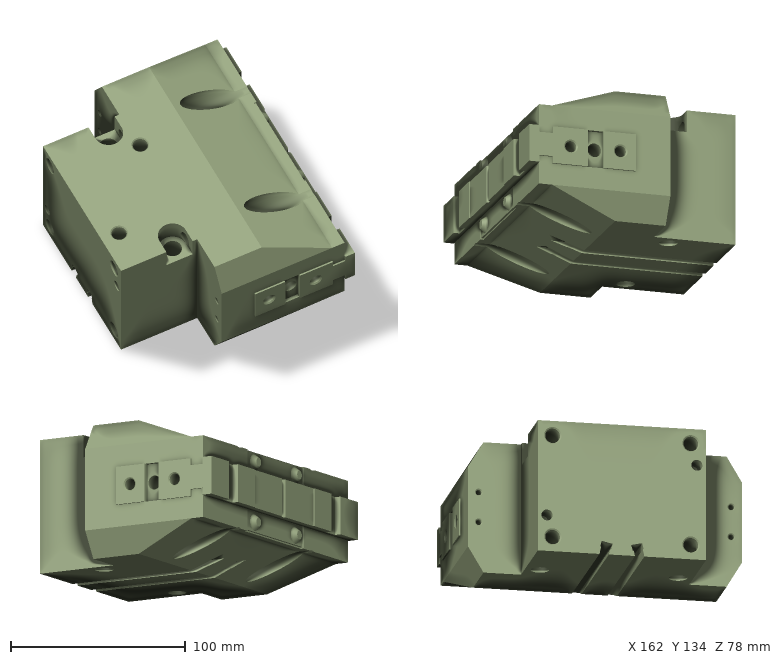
import cadquery as cq
import math


TOTAL_WIDTH = 162.0
TOTAL_LENGTH = 134.0
HOUSING_WIDTH = 160.0
HOUSING_HEIGHT = 78.0
HALF_HEIGHT = HOUSING_HEIGHT / 2

STEM_WIDTH = 98.2
SHOULDER_Y = 49.0
SLOPE_START_Y = 79.2
SLOPE_END_Y = 119.9
HOUSING_LENGTH = 127.8
RAIL_HALF_HEIGHT = 23.8
TOP_FLAT_WIDTH = 141.9

JAW_HALF_HEIGHT = 11.0
NECK_HALF_HEIGHT = 7.0
GUIDE_BOTTOM_Y = 70.0
JAW_LENGTH = TOTAL_WIDTH / 2
RELIEF_HALF_WIDTH = 32.7
RELIEF_DEPTH = 0.6
INNER_CHAMFER = 1.8
KEYWAY_CENTRE_X = 56.7
KEYWAY_WIDTH = 10.0
KEYWAY_DEPTH = 3.5
SIDE_SLOT_CENTRE_Y = 94.0
SIDE_SLOT_WIDTH = 9.4
SIDE_SLOT_DEPTH = 3.0
SIDE_HOLE_SPACING = 14.9
SIDE_HOLE_DIAMETER = 6.6
SIDE_PIN_DIAMETER = 8.1
SIDE_HOLE_DEPTH = 16.2

SCREW_X = 40.3
SCREW_Z = 30.3
SCREW_DIAMETER = 8.6
SCREW_MOUTH_DIAMETER = 10.0
SCREW_HEAD_DIAMETER = 14.0
SCREW_HEAD_SEAT_Y = 72.9

CROSS_HOLE_Y = 37.6
CROSS_HOLE_DIAMETER = 10.7
POCKET_WIDTH = 16.8
POCKET_DEPTH = 13.0

DOWEL_X = 43.7
DOWEL_Z = 17.5
DOWEL_DIAMETER = 6.5
DOWEL_DEPTH = 13.0
SHOULDER_HOLE_X = 73.7
SHOULDER_HOLE_Z = 8.9
SHOULDER_HOLE_DIAMETER = 3.2
SHOULDER_MOUTH_DIAMETER = 4.4
SHOULDER_HOLE_DEPTH = 9.7

AIR_PORTS = [(-24.8, 50.0, 1.8), (24.8, 11.2, -2.8)]
PORT_DIAMETER = 8.7
PORT_MOUTH_DIAMETER = 10.0
PORT_DEPTH = 13.0
PORT_BORE_DIAMETER = 2.9
PORT_BORE_DEPTH = 4.9

SENSOR_GROOVE = [
    (13.1, 0.0), (12.2, 4.2), (12.6, 4.5), (11.8, 8.0),
    (5.3, 6.5), (6.3, 3.2), (7.0, 3.0), (7.6, 0.0),
]

BUTTON_X = 22.5
BUTTON_Z = 17.5
BUTTON_BASE_RADIUS = 4.9
BUTTON_TOP_RADIUS = 2.6
BUTTON_HEIGHT = 2.9
SEAT_HALF_WIDTH = 30.8
SEAT_DEPTH = 0.5
SEAT_STEP_WIDTH = 1.3
SEAT_STEP_DEPTH = 0.8

DRILL_TIP_HALF_ANGLE = 59.0
SIGNS = (-1, 1)


def box(x0, x1, y0, y1, z0, z1):
    """Box between two opposite corners."""
    return cq.Workplane("XY").box(x1 - x0, y1 - y0, z1 - z0, centered=False).translate((x0, y0, z0))


def cylinder(start, direction, diameter, length):
    return cq.Workplane(cq.Solid.makeCylinder(diameter / 2, length, cq.Vector(*start), cq.Vector(*direction)))


def blind_hole(start, direction, diameter, depth, mouth_diameter=None):
    """Drilled hole with a conical tip, and a 45 degree mouth chamfer if one is given."""
    origin = cq.Vector(*start)
    axis = cq.Vector(*direction)
    radius = diameter / 2
    tip_length = radius / math.tan(math.radians(DRILL_TIP_HALF_ANGLE))
    tip = cq.Solid.makeCone(radius, 0, tip_length, origin + axis * depth, axis)
    hole = cylinder(start, direction, diameter, depth).union(cq.Workplane(tip))
    if mouth_diameter:
        hole = hole.union(mouth_chamfer(start, direction, diameter, mouth_diameter))
    return hole


def mouth_chamfer(start, direction, diameter, mouth_diameter):
    height = (mouth_diameter - diameter) / 2
    cone = cq.Solid.makeCone(
        mouth_diameter / 2, diameter / 2, height, cq.Vector(*start), cq.Vector(*direction)
    )
    return cq.Workplane(cone)


def housing_blank():
    """Stem and head in plan, trimmed by the sloping nose and the sloping side corners."""
    head = box(-HOUSING_WIDTH / 2, HOUSING_WIDTH / 2, SHOULDER_Y, HOUSING_LENGTH, -HALF_HEIGHT, HALF_HEIGHT)
    stem = box(-STEM_WIDTH / 2, STEM_WIDTH / 2, 0, SHOULDER_Y, -HALF_HEIGHT, HALF_HEIGHT)
    side_profile = (
        cq.Workplane("YZ")
        .polyline([
            (0, -HALF_HEIGHT), (SLOPE_START_Y, -HALF_HEIGHT),
            (SLOPE_END_Y, -RAIL_HALF_HEIGHT), (HOUSING_LENGTH, -RAIL_HALF_HEIGHT),
            (HOUSING_LENGTH, RAIL_HALF_HEIGHT), (SLOPE_END_Y, RAIL_HALF_HEIGHT),
            (SLOPE_START_Y, HALF_HEIGHT), (0, HALF_HEIGHT),
        ])
        .close()
        .extrude(HOUSING_WIDTH / 2, both=True)
    )
    flat, side = TOP_FLAT_WIDTH / 2, HOUSING_WIDTH / 2
    front_profile = (
        cq.Workplane("XZ")
        .polyline([
            (-flat, -HALF_HEIGHT), (flat, -HALF_HEIGHT),
            (side, -RAIL_HALF_HEIGHT), (side, RAIL_HALF_HEIGHT),
            (flat, HALF_HEIGHT), (-flat, HALF_HEIGHT),
            (-side, RAIL_HALF_HEIGHT), (-side, -RAIL_HALF_HEIGHT),
        ])
        .close()
        .extrude(-HOUSING_LENGTH)
    )
    return head.union(stem).intersect(side_profile).intersect(front_profile)


def jaw_guide(x0, x1, end_y):
    """T-shaped bar along X: wide foot, narrow neck between the rails, and a head if end_y is past them."""
    foot = box(x0, x1, GUIDE_BOTTOM_Y, SLOPE_END_Y, -JAW_HALF_HEIGHT, JAW_HALF_HEIGHT)
    neck = box(x0, x1, SLOPE_END_Y, HOUSING_LENGTH, -NECK_HALF_HEIGHT, NECK_HALF_HEIGHT)
    bar = foot.union(neck)
    if end_y > HOUSING_LENGTH:
        bar = bar.union(box(x0, x1, HOUSING_LENGTH, end_y, -JAW_HALF_HEIGHT, JAW_HALF_HEIGHT))
    return bar


def mounting_screw_holes():
    cuts = cq.Workplane()
    for sx in SIGNS:
        for sz in SIGNS:
            mouth = (sx * SCREW_X, 0, sz * SCREW_Z)
            seat = (sx * SCREW_X, SCREW_HEAD_SEAT_Y, sz * SCREW_Z)
            along_y = (0, 1, 0)
            cuts = (
                cuts.add(cylinder(mouth, along_y, SCREW_DIAMETER, HOUSING_LENGTH))
                .add(mouth_chamfer(mouth, along_y, SCREW_DIAMETER, SCREW_MOUTH_DIAMETER))
                .add(cylinder(seat, along_y, SCREW_HEAD_DIAMETER, HOUSING_LENGTH - SCREW_HEAD_SEAT_Y))
            )
    return cuts.combine()


def cross_holes():
    """Holes through the height, each in a round-ended pocket open to the side of the stem."""
    floor_z = HALF_HEIGHT - POCKET_DEPTH
    cuts = cq.Workplane()
    for sx in SIGNS:
        x = sx * SCREW_X
        edge_x = sx * STEM_WIDTH / 2
        half = POCKET_WIDTH / 2
        opening = box(
            min(x, edge_x), max(x, edge_x), CROSS_HOLE_Y - half, CROSS_HOLE_Y + half, floor_z, HALF_HEIGHT
        )
        cuts = (
            cuts.add(cylinder((x, CROSS_HOLE_Y, -HALF_HEIGHT), (0, 0, 1), CROSS_HOLE_DIAMETER, HOUSING_HEIGHT))
            .add(cylinder((x, CROSS_HOLE_Y, floor_z), (0, 0, 1), POCKET_WIDTH, POCKET_DEPTH))
            .add(opening)
        )
    return cuts.combine()


def dowel_holes():
    cuts = cq.Workplane()
    for sign in SIGNS:
        cuts = cuts.add(blind_hole((sign * DOWEL_X, 0, sign * DOWEL_Z), (0, 1, 0), DOWEL_DIAMETER, DOWEL_DEPTH))
    return cuts.combine()


def shoulder_holes():
    cuts = cq.Workplane()
    for sx in SIGNS:
        for sz in SIGNS:
            start = (sx * SHOULDER_HOLE_X, SHOULDER_Y, sz * SHOULDER_HOLE_Z)
            cuts = cuts.add(blind_hole(
                start, (0, 1, 0), SHOULDER_HOLE_DIAMETER, SHOULDER_HOLE_DEPTH, SHOULDER_MOUTH_DIAMETER
            ))
    return cuts.combine()


def air_ports():
    """Flat-bottomed ports, each with a small off-centre bore in its floor."""
    down = (0, 0, -1)
    cuts = cq.Workplane()
    for x, y, bore_offset in AIR_PORTS:
        mouth = (x, y, HALF_HEIGHT)
        bore = (x, y + bore_offset, HALF_HEIGHT - PORT_DEPTH)
        cuts = (
            cuts.add(cylinder(mouth, down, PORT_DIAMETER, PORT_DEPTH))
            .add(mouth_chamfer(mouth, down, PORT_DIAMETER, PORT_MOUTH_DIAMETER))
            .add(blind_hole(bore, down, PORT_BORE_DIAMETER, PORT_BORE_DEPTH))
        )
    return cuts.combine()


def sensor_grooves():
    """Two mirrored slanting grooves, narrowed by lips at the mouth, that run the full length of the underside."""
    cuts = cq.Workplane()
    for sx in SIGNS:
        outline = [(sx * x, z - HALF_HEIGHT) for x, z in SENSOR_GROOVE]
        cuts = cuts.add(cq.Workplane("XZ").polyline(outline).close().extrude(-HOUSING_LENGTH))
    return cuts.combine()


def nose_seats():
    """Shallow seat in the nose face of both rails, stepped along the outer edge."""
    seat_y = HOUSING_LENGTH - SEAT_DEPTH
    step_z = RAIL_HALF_HEIGHT - SEAT_STEP_DEPTH
    cuts = box(
        -SEAT_HALF_WIDTH, SEAT_HALF_WIDTH, seat_y, HOUSING_LENGTH, -RAIL_HALF_HEIGHT, RAIL_HALF_HEIGHT
    )
    upper_step = box(
        -SEAT_HALF_WIDTH, SEAT_HALF_WIDTH, seat_y - SEAT_STEP_WIDTH, seat_y, step_z, RAIL_HALF_HEIGHT
    )
    return cuts.union(upper_step).union(upper_step.mirror("XY"))


def buttons():
    """Conical screw heads on the nose seats."""
    heads = cq.Workplane()
    seat_y = HOUSING_LENGTH - SEAT_DEPTH
    for sx in SIGNS:
        for sz in SIGNS:
            cone = cq.Solid.makeCone(
                BUTTON_BASE_RADIUS, BUTTON_TOP_RADIUS, BUTTON_HEIGHT,
                cq.Vector(sx * BUTTON_X, seat_y, sz * BUTTON_Z), cq.Vector(0, 1, 0),
            )
            heads = heads.add(cq.Workplane(cone))
    return heads.combine()


def make_housing():
    return (
        housing_blank()
        .cut(jaw_guide(-HOUSING_WIDTH / 2, HOUSING_WIDTH / 2, HOUSING_LENGTH))
        .cut(mounting_screw_holes())
        .cut(cross_holes())
        .cut(dowel_holes())
        .cut(shoulder_holes())
        .cut(air_ports())
        .cut(sensor_grooves())
        .cut(nose_seats())
        .union(buttons())
    )


def make_jaw():
    """Jaw on the +X side, from the middle plane to the outer face."""
    jaw = jaw_guide(0, JAW_LENGTH, TOTAL_LENGTH)
    relief_y = TOTAL_LENGTH - RELIEF_DEPTH
    z = JAW_HALF_HEIGHT
    relief = box(0, RELIEF_HALF_WIDTH, relief_y, TOTAL_LENGTH, -z, z)
    inner_chamfer = (
        cq.Workplane("XY")
        .polyline([(0, relief_y), (INNER_CHAMFER, relief_y), (0, relief_y - INNER_CHAMFER)])
        .close()
        .extrude(z, both=True)
    )
    keyway = box(
        KEYWAY_CENTRE_X - KEYWAY_WIDTH / 2, KEYWAY_CENTRE_X + KEYWAY_WIDTH / 2,
        TOTAL_LENGTH - KEYWAY_DEPTH, TOTAL_LENGTH, -z, z,
    )
    slot_floor_x = JAW_LENGTH - SIDE_SLOT_DEPTH
    side_slot = box(
        slot_floor_x, JAW_LENGTH,
        SIDE_SLOT_CENTRE_Y - SIDE_SLOT_WIDTH / 2, SIDE_SLOT_CENTRE_Y + SIDE_SLOT_WIDTH / 2, -z, z,
    )
    inward = (-1, 0, 0)
    pin_hole = blind_hole((slot_floor_x, SIDE_SLOT_CENTRE_Y, 0), inward, SIDE_PIN_DIAMETER, SIDE_HOLE_DEPTH)
    jaw = jaw.cut(relief).cut(inner_chamfer).cut(keyway).cut(side_slot).cut(pin_hole)
    for sign in SIGNS:
        start = (JAW_LENGTH, SIDE_SLOT_CENTRE_Y + sign * SIDE_HOLE_SPACING, 0)
        jaw = jaw.cut(blind_hole(start, inward, SIDE_HOLE_DIAMETER, SIDE_HOLE_DEPTH, SIDE_PIN_DIAMETER))
    return jaw


housing = make_housing()
right_jaw = make_jaw()
jaws = [right_jaw, right_jaw.mirror("YZ")]

result = cq.Compound.makeCompound([housing.val(), *[jaw.val() for jaw in jaws]])